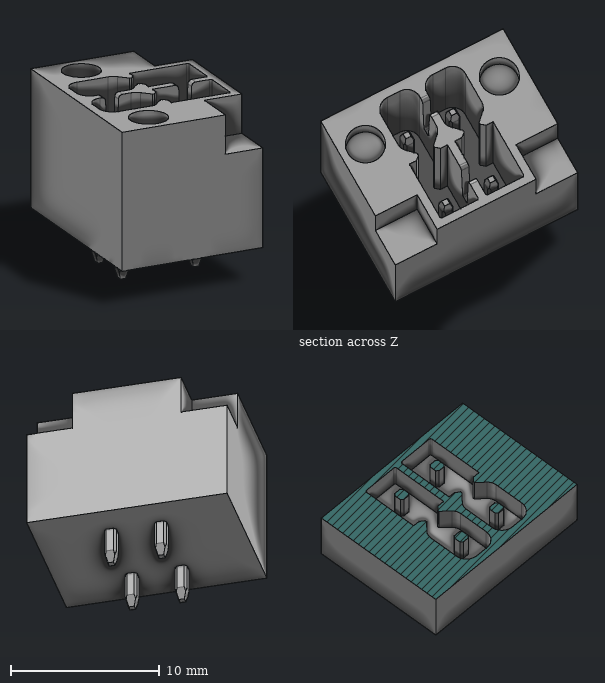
import cadquery as cq
import math

body_x = 14.0
body_y = 10.6
body_z = 10.0

column_pitch = 3.5
row_pitch = 5.5
column_xs = (-column_pitch / 2, column_pitch / 2)
row_ys = (-row_pitch / 2, row_pitch / 2)

pin_side = 0.84
pin_edge_chamfer = 0.17
pin_tip_side = 0.4
pin_taper_length = 0.84
pin_below = 2.6
pin_top_z = 6.58

step_x = 3.2
step_y = 2.83
step_z = 2.83

hole_diameter = 2.7
hole_depth = 1.29
hole_x = 5.14
hole_y = -2.4

socket_width = 2.93
socket_depth = 7.98
socket_back_y = 4.73
socket_front_y = -4.65
socket_back_radius = 0.14
socket_front_radius = 0.98
shoulder_y = 0.28
shoulder_width = 0.53
nose_reach = 0.85
nose_back_y = 0.01
nose_front_y = -0.13
cheek_angle = math.radians(45)
cheek_radius = 0.84

slot_depth = 4.76
slot_top_width = 1.0
slot_floor_width = 0.65
slot_lip_radius = 0.3
slot_floor_radius = 0.15


def make_housing():
    housing = cq.Workplane("XY").box(body_x, body_y, body_z, centered=(True, True, False))
    for side in (-1, 1):
        step = cq.Workplane("XY").box(step_x, step_y, step_z).translate(
            (side * (body_x - step_x) / 2, (body_y - step_y) / 2, body_z - step_z / 2)
        )
        housing = housing.cut(step)
    holes = (
        cq.Workplane("XY", origin=(0, 0, body_z))
        .pushPoints([(-hole_x, hole_y), (hole_x, hole_y)])
        .circle(hole_diameter / 2)
        .extrude(-hole_depth)
    )
    return housing.cut(holes)


def make_socket(center_x):
    half = socket_width / 2
    margin = socket_back_radius
    nose_x = half - nose_reach
    cheek_y = nose_front_y - nose_reach * math.tan(cheek_angle)
    right_side = [
        (half, socket_front_y),
        (half, cheek_y),
        (nose_x, nose_front_y),
        (nose_x, nose_back_y),
        (half - shoulder_width, shoulder_y),
        (half, shoulder_y),
        (half, socket_back_y),
    ]
    left_side = [(-x, y) for x, y in reversed(right_side)]
    socket = cq.Workplane("XY").polyline(right_side + left_side).close().extrude(socket_depth)

    def edges_at(y):
        selector = cq.selectors.BoxSelector(
            (-half - margin, y - margin, 0), (half + margin, y + margin, socket_depth)
        )
        return socket.edges("|Z").edges(selector)

    socket = edges_at(socket_back_y).fillet(socket_back_radius)
    socket = edges_at(socket_front_y).fillet(socket_front_radius)
    socket = edges_at(cheek_y).fillet(cheek_radius)
    return socket.translate((center_x, 0, body_z - socket_depth))


def make_slot(center_y):
    wall = column_pitch - socket_width
    floor_z = body_z - slot_depth
    half_top = slot_top_width / 2
    half_floor = slot_floor_width / 2
    profile = [(-half_floor, floor_z), (half_floor, floor_z), (half_top, body_z), (-half_top, body_z)]
    slot = cq.Workplane("YZ").polyline(profile).close().extrude(wall / 2, both=True)
    slot = slot.edges("|X and <Z").fillet(slot_floor_radius)

    lean = math.atan((half_top - half_floor) / slot_depth)
    tangent = slot_lip_radius * math.tan(math.pi / 4 - lean / 2)
    center_offset = half_top + tangent
    center_z = body_z - slot_lip_radius

    def lip_point(angle):
        y = center_offset - slot_lip_radius * math.cos(angle)
        return y, center_z + slot_lip_radius * math.sin(angle)

    mid_y, mid_z = lip_point((math.pi / 2 + lean) / 2)
    wall_y, wall_z = lip_point(lean)
    mouth = (
        cq.Workplane("YZ")
        .moveTo(-center_offset, body_z)
        .lineTo(center_offset, body_z)
        .threePointArc((mid_y, mid_z), (wall_y, wall_z))
        .lineTo(-wall_y, wall_z)
        .threePointArc((-mid_y, mid_z), (-center_offset, body_z))
        .close()
        .extrude(wall / 2, both=True)
    )
    slot = slot.union(mouth)
    return slot.translate((0, center_y, 0))


def make_pin(x, y):
    length = pin_top_z + pin_below
    pin = cq.Workplane("XY").rect(pin_side, pin_side).extrude(length)
    pin = pin.edges("|Z").chamfer(pin_edge_chamfer)
    shank = length - 2 * pin_taper_length
    taper = math.degrees(math.atan((pin_side - pin_tip_side) / 2 / pin_taper_length))
    envelope = (
        cq.Workplane("XY", origin=(0, 0, length / 2))
        .rect(pin_side, pin_side)
        .extrude(shank / 2, both=True)
        .faces(">Z").workplane().rect(pin_side, pin_side).extrude(pin_taper_length, taper=taper)
        .faces("<Z").workplane().rect(pin_side, pin_side).extrude(pin_taper_length, taper=taper)
    )
    return pin.intersect(envelope).translate((x, y, -pin_below))


result = make_housing()
for column_x in column_xs:
    result = result.cut(make_socket(column_x))
for row_y in row_ys:
    result = result.cut(make_slot(row_y))
for column_x in column_xs:
    for row_y in row_ys:
        result = result.union(make_pin(column_x, row_y))